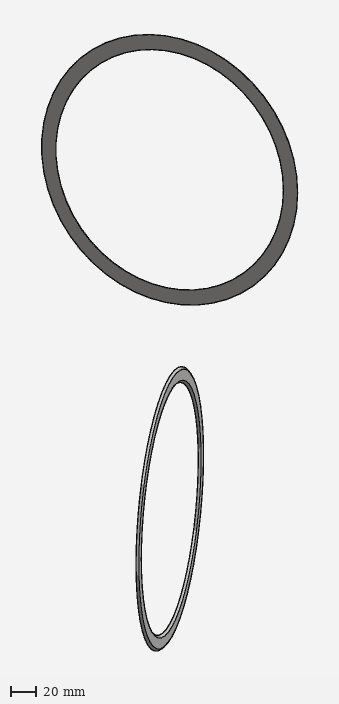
import cadquery as cq

outer_diameter = 227.52
inner_diameter = 201.82
thickness = 2.0
bevel = thickness

front_outer_radius = outer_diameter / 2
front_inner_radius = inner_diameter / 2
back_outer_radius = front_outer_radius - bevel
back_inner_radius = front_inner_radius + bevel

front_y = -thickness / 2
back_y = thickness / 2


def bevelled_ring():
    """Flat ring about the Y axis; its rim and bore both taper from the front face to the back."""
    section = (
        cq.Workplane("XY")
        .moveTo(front_inner_radius, front_y)
        .lineTo(front_outer_radius, front_y)
        .lineTo(back_outer_radius, back_y)
        .lineTo(back_inner_radius, back_y)
        .close()
    )
    return section.revolve(360, (0, 0, 0), (0, 1, 0))


result = bevelled_ring()